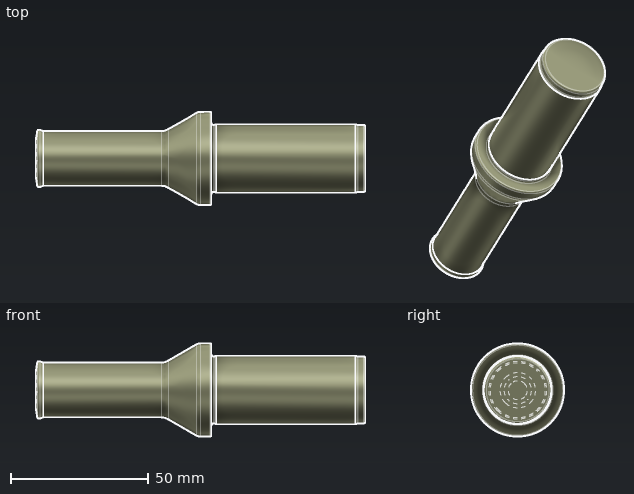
import cadquery as cq
import math

total_length = 120.0
flange_face_x = 64.0

cutting_radius = 21.0 / 2
corner_radius = 0.8
outer_face_angle = math.radians(9)
groove_angle = math.radians(12)
centre_face_angle = math.radians(8)
peak_inner_radius = 3.46
valley_radius = 4.95
peak_outer_radius = 6.43
back_angle = math.radians(20)

neck_radius = 20.0 / 2
flange_radius = 34.0 / 2
flange_rim_start_x = 59.95
flange_cone_angle = math.radians(30)
neck_fillet = 5.0
rim_front_fillet = 3.0
rim_back_fillet = 0.6

shank_radius = 25.0 / 2
relief_radius = 24.5 / 2
relief_angle = math.radians(20)
relief_fillet = 1.0
front_relief_end_x = 65.8
rear_relief_start_x = 116.3
shank_end_fillet = 0.8


def revolve_about_x(profile):
    """Revolve a closed profile, drawn as (x, radius), about the X axis."""
    return profile.close().revolve(360, (0, 0, 0), (1, 0, 0))


def circles_at(x, radius):
    """Selector for the circular edge of the given radius at station x."""
    margin = 0.01
    return cq.selectors.BoxSelector(
        (x - margin, -radius - margin, -radius - margin),
        (x + margin, radius + margin, radius + margin),
        boundingbox=True,
    )


def corner_centre():
    """Centre of the rounded corner, tangent to the face cone and to the cutting diameter."""
    radius = cutting_radius - corner_radius
    tangent_radius = radius + corner_radius * math.sin(outer_face_angle)
    tangent_x = (tangent_radius - peak_outer_radius) * math.tan(outer_face_angle)
    return tangent_x + corner_radius * math.cos(outer_face_angle), radius


def corner_point(angle):
    """Point on the rounded corner, with the angle measured from the -X direction."""
    centre_x, centre_radius = corner_centre()
    return (
        centre_x - corner_radius * math.cos(angle),
        centre_radius + corner_radius * math.sin(angle),
    )


corner_start = corner_point(outer_face_angle)
corner_apex = corner_point(math.pi / 2)
corner_end = corner_point(math.pi / 2 + back_angle)

head_back_x = corner_end[0] + (corner_end[1] - neck_radius) / math.tan(back_angle)


def make_cutting_head():
    """Solid with a dished centre, a V-groove ring and a rounded outer corner on its face."""
    valley_depth = (peak_outer_radius - valley_radius) * math.tan(groove_angle)
    centre_depth = peak_inner_radius * math.tan(centre_face_angle)

    profile = (
        cq.Workplane("XZ")
        .moveTo(centre_depth, 0)
        .lineTo(0, peak_inner_radius)
        .lineTo(valley_depth, valley_radius)
        .lineTo(0, peak_outer_radius)
        .lineTo(*corner_start)
        .threePointArc(corner_apex, corner_end)
        .lineTo(head_back_x, neck_radius)
        .lineTo(head_back_x, 0)
    )
    return revolve_about_x(profile)


def make_drill_body():
    """Neck, conical flange and shank in one turned solid."""
    cone_length = (flange_radius - neck_radius) / math.tan(flange_cone_angle)
    cone_end_x = flange_rim_start_x - rim_front_fillet * math.tan(flange_cone_angle / 2)
    cone_start_x = cone_end_x - cone_length
    relief_taper = (shank_radius - relief_radius) / math.tan(relief_angle)
    front_taper_x = front_relief_end_x - relief_taper
    rear_taper_x = rear_relief_start_x + relief_taper

    profile = (
        cq.Workplane("XZ")
        .moveTo(head_back_x, 0)
        .lineTo(head_back_x, neck_radius)
        .lineTo(cone_start_x, neck_radius)
        .lineTo(cone_end_x, flange_radius)
        .lineTo(flange_face_x, flange_radius)
        .lineTo(flange_face_x, relief_radius)
        .lineTo(front_taper_x, relief_radius)
        .lineTo(front_relief_end_x, shank_radius)
        .lineTo(rear_relief_start_x, shank_radius)
        .lineTo(rear_taper_x, relief_radius)
        .lineTo(total_length, relief_radius)
        .lineTo(total_length, 0)
    )
    body = revolve_about_x(profile)

    rounded_edges = [
        (cone_start_x, neck_radius, neck_fillet),
        (cone_end_x, flange_radius, rim_front_fillet),
        (flange_face_x, flange_radius, rim_back_fillet),
        (front_taper_x, relief_radius, relief_fillet),
        (rear_taper_x, relief_radius, relief_fillet),
        (total_length, relief_radius, shank_end_fillet),
    ]
    for x, radius, fillet in rounded_edges:
        body = body.edges(circles_at(x, radius)).fillet(fillet)
    return body


cutting_head = make_cutting_head()
drill_body = make_drill_body()

result = cq.Compound.makeCompound([cutting_head.val(), drill_body.val()])